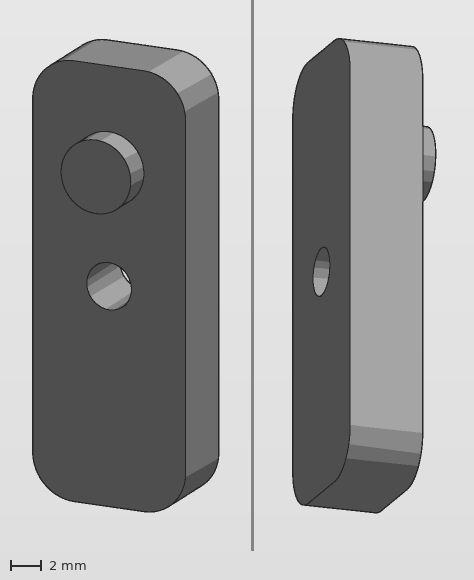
import cadquery as cq

plate_height = 30.0
plate_width = 11.0
plate_thickness = 5.0
corner_radius = 3.0

hole_diameter = 3.2

pin_diameter = 5.0
pin_length = 1.98
pin_height_above_hole = 8.0


def make_plate():
    """Upright plate with rounded corners, extending back from the front face."""
    return (
        cq.Workplane("XZ")
        .rect(plate_width, plate_height)
        .extrude(-plate_thickness)
        .edges("|Y")
        .fillet(corner_radius)
    )


def make_hole():
    """Cutter for the hole through the full plate thickness."""
    return cq.Workplane("XZ").circle(hole_diameter / 2).extrude(-plate_thickness)


def make_pin():
    """Pin projecting forward from the front face."""
    return (
        cq.Workplane("XZ")
        .center(0, pin_height_above_hole)
        .circle(pin_diameter / 2)
        .extrude(pin_length)
    )


result = make_plate().cut(make_hole()).union(make_pin())